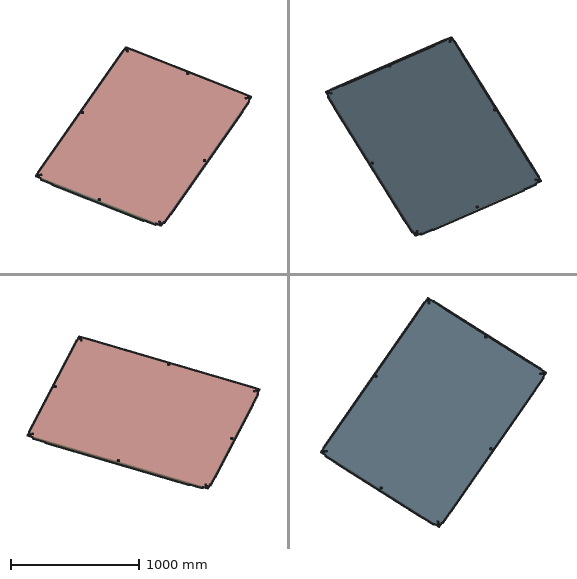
import cadquery as cq

sheet = 3.3
bend_radius = 6.7
inner_radius = bend_radius - sheet

band_depth = 14.0
tongue_depth = 8.4
flange_x_band = 1014.0
flange_x_tongue = 807.0
flange_y_band = 1422.0
flange_y_tongue = 1209.0

inside_x = 1110.0
length_x = inside_x + 2 * sheet
length_y = 1522.0
height = band_depth + tongue_depth
corner_inset = 5.5

hole_diameter = 12.6
hole_inset = 21.0
small_hole_diameter = 7.2
small_hole_shift = 15.0


def top_sheet():
    """Flat sheet whose corners stand free between the flange ends."""
    sheet_box = cq.Workplane("XY").box(
        length_x - 2 * corner_inset,
        length_y - 2 * corner_inset,
        sheet,
        centered=(True, True, False),
    )
    return sheet_box.translate((0, 0, -sheet))


def bend_relief(band_length, reach):
    """Strip of sheet edge, centred on x = 0, that the bend replaces."""
    return (
        cq.Workplane("XY")
        .box(band_length, bend_radius, 2 * sheet)
        .translate((0, reach - bend_radius / 2, 0))
    )


def flange(band_length, tongue_length, reach):
    """Quarter-round bend and stepped flange, with its outer face at y = reach."""
    profile = (
        cq.Workplane("YZ")
        .moveTo(reach - bend_radius, 0)
        .radiusArc((reach, -bend_radius), bend_radius)
        .lineTo(reach, -height)
        .lineTo(reach - sheet, -height)
        .lineTo(reach - sheet, -bend_radius)
        .radiusArc((reach - bend_radius, -sheet), -inner_radius)
        .close()
        .extrude(band_length / 2, both=True)
    )
    side = (
        cq.Workplane("XZ")
        .moveTo(-band_length / 2, 0)
        .lineTo(band_length / 2, 0)
        .lineTo(band_length / 2, -band_depth)
        .lineTo(tongue_length / 2, -band_depth)
        .lineTo(tongue_length / 2, -height)
        .lineTo(-tongue_length / 2, -height)
        .lineTo(-tongue_length / 2, -band_depth)
        .lineTo(-band_length / 2, -band_depth)
        .close()
        .extrude(-2 * reach)
    )
    return profile.intersect(side)


def drill(points, diameter):
    """Round cutters through the top sheet."""
    return cq.Workplane("XY").pushPoints(points).circle(diameter / 2).extrude(2 * sheet, both=True)


result = top_sheet()

flange_sides = [
    (0, flange_x_band, flange_x_tongue, length_y / 2),
    (90, flange_y_band, flange_y_tongue, length_x / 2),
    (180, flange_x_band, flange_x_tongue, length_y / 2),
    (270, flange_y_band, flange_y_tongue, length_x / 2),
]
for angle, band_length, tongue_length, reach in flange_sides:
    relief = bend_relief(band_length, reach)
    bent_edge = flange(band_length, tongue_length, reach)
    result = result.cut(relief.rotate((0, 0, 0), (0, 0, 1), angle))
    result = result.union(bent_edge.rotate((0, 0, 0), (0, 0, 1), angle))

hole_x = length_x / 2 - hole_inset
hole_y = length_y / 2 - hole_inset
corner_signs = [(-1, -1), (1, -1), (1, 1), (-1, 1)]
corner_points = [(sx * hole_x, sy * hole_y) for sx, sy in corner_signs]
middle_points = [(hole_x, 0), (-hole_x, 0), (0, hole_y), (0, -hole_y)]
small_points = [
    (sx * (hole_x - small_hole_shift), sy * (hole_y - small_hole_shift)) for sx, sy in corner_signs
]
result = result.cut(drill(corner_points + middle_points, hole_diameter))
result = result.cut(drill(small_points, small_hole_diameter))